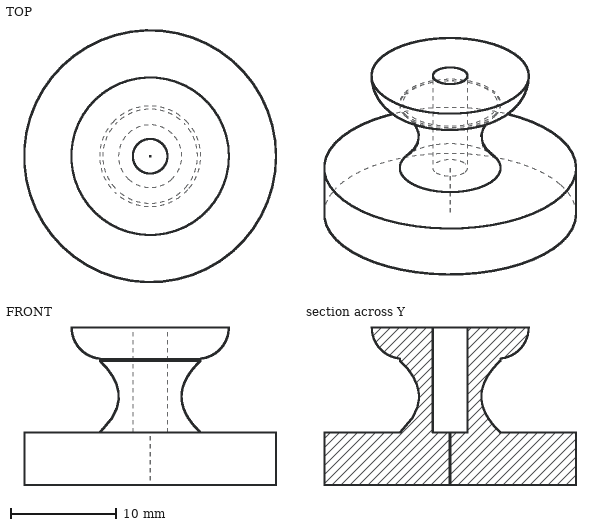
import cadquery as cq

base_diameter = 24.0
base_height = 5.0

total_height = 15.0
cap_diameter = 15.0
cap_height = 3.0

neck_end_diameter = 9.6
neck_waist_diameter = 6.0
collar_height = 0.18

screw_hole_diameter = 3.3
screw_hole_depth = total_height - base_height
pilot_hole_diameter = 0.05

cap_bottom = total_height - cap_height
collar_bottom = cap_bottom - collar_height
neck_middle = (base_height + collar_bottom) / 2


def revolve_about_z(profile):
    return profile.revolve(360, (0, 0, 0), (0, 1, 0))


def make_base():
    return cq.Workplane("XY").circle(base_diameter / 2).extrude(base_height)


def make_neck():
    """Neck with a parabolic waist, topped by the straight collar."""
    end_radius = neck_end_diameter / 2
    control_radius = neck_waist_diameter - end_radius
    profile = (
        cq.Workplane("XZ")
        .moveTo(0, base_height)
        .lineTo(end_radius, base_height)
        .bezier(
            [(control_radius, neck_middle), (end_radius, collar_bottom)],
            includeCurrent=True,
        )
        .lineTo(end_radius, cap_bottom)
        .lineTo(0, cap_bottom)
        .close()
    )
    return revolve_about_z(profile)


def make_cap():
    """Flat-topped cap with a quarter-round lower edge."""
    cap_radius = cap_diameter / 2
    profile = (
        cq.Workplane("XZ")
        .moveTo(0, cap_bottom)
        .lineTo(cap_radius - cap_height, cap_bottom)
        .radiusArc((cap_radius, total_height), -cap_height)
        .lineTo(0, total_height)
        .close()
    )
    return revolve_about_z(profile)


def make_bore(diameter, depth):
    """Cutter running down the axis from the top face."""
    return cq.Workplane("XY").workplane(offset=total_height).circle(diameter / 2).extrude(-depth)


body = make_base().union(make_neck()).union(make_cap())
body = body.cut(make_bore(screw_hole_diameter, screw_hole_depth))
result = body.cut(make_bore(pilot_hole_diameter, total_height))